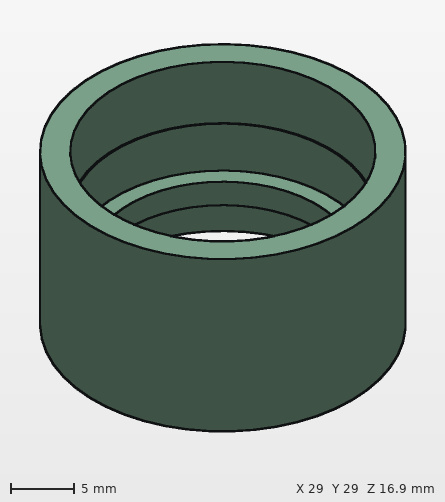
import cadquery as cq

outer_diameter = 29.0
height = 16.9

entry_diameter = 24.2
seat_diameter = 24.05
lip_diameter = 21.05
bottom_diameter = 25.05

entry_depth = 6.0
lip_top_depth = 10.6
bottom_depth = 4.0


def bore(diameter, z_low, z_high):
    """Cylinder on the Z axis that cuts one bore between two heights."""
    return cq.Workplane("XY").workplane(offset=z_low).circle(diameter / 2).extrude(z_high - z_low)


def sleeve():
    """Round sleeve with an inner lip between stepped top bores and a bottom counterbore."""
    body = cq.Workplane("XY").circle(outer_diameter / 2).extrude(height)
    body = body.cut(bore(lip_diameter, 0, height))
    body = body.cut(bore(seat_diameter, height - lip_top_depth, height))
    body = body.cut(bore(entry_diameter, height - entry_depth, height))
    return body.cut(bore(bottom_diameter, 0, bottom_depth))


result = sleeve()